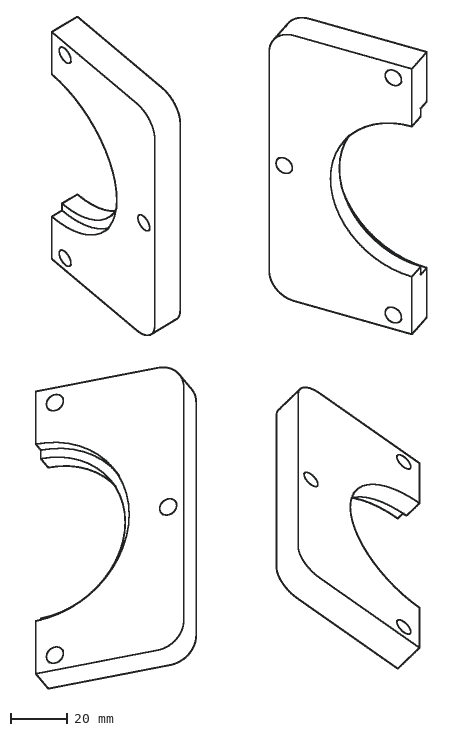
import cadquery as cq

width = 57.0
thickness = 12.0
height = 115.0
corner_radius = 10.0

bore_radius = 32.5
step_radius = 36.0
step_depth = 4.8

hole_diameter = 6.5
end_hole_x = 7.4
end_hole_z = 51.4
side_hole_x = 51.0


def cylinder_along_y(radius, depth, x=0.0, z=0.0):
    """Cylinder that starts on the front face and runs back into the plate."""
    return cq.Workplane("XZ").center(x, z).circle(radius).extrude(-depth)


def make_plate():
    """Upright plate with both corners on the +X side rounded."""
    blank = cq.Workplane("XY").box(width, thickness, height, centered=(False, False, True))
    return blank.edges("|Y and >X").fillet(corner_radius)


def cut_opening(plate):
    """Stepped half-round opening through the left edge."""
    bore = cylinder_along_y(bore_radius, thickness)
    step = cylinder_along_y(step_radius, step_depth)
    return plate.cut(bore).cut(step)


def cut_holes(plate):
    """One hole near each end and one beside the opening."""
    hole_places = [
        (end_hole_x, end_hole_z),
        (end_hole_x, -end_hole_z),
        (side_hole_x, 0.0),
    ]
    for x, z in hole_places:
        plate = plate.cut(cylinder_along_y(hole_diameter / 2, thickness, x, z))
    return plate


result = cut_holes(cut_opening(make_plate()))